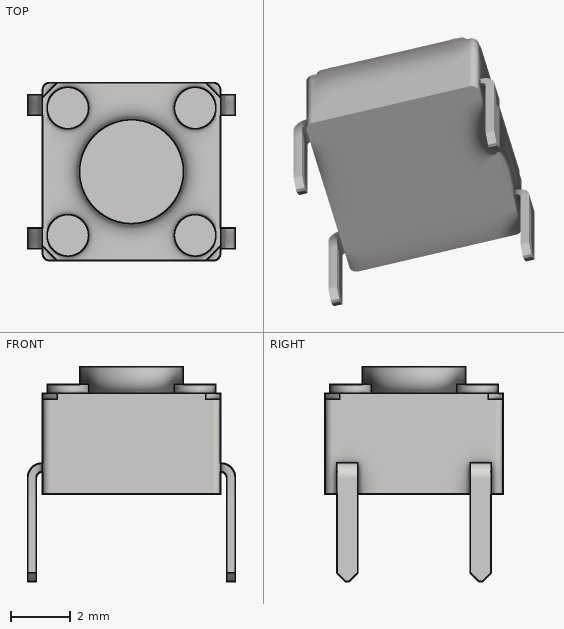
import cadquery as cq
import math

body_side = 6.0
body_height = 3.2
body_corner_radius = 0.25

cover_thickness = 0.2
cover_corner_cut = 0.5

plunger_diameter = 3.5
plunger_height = 0.9
peg_diameter = 1.4
peg_height = 0.3
peg_offset = 2.145

span_over_pins = 7.0
total_height = 7.25
pin_thickness = 0.3
pin_width = 0.7
pin_offset = 2.25
pin_top = 1.05
tip_cut = 0.3
pin_embed = 0.145

cover_top = body_height + cover_thickness
pin_bottom = cover_top + plunger_height - total_height
wall_x = body_side / 2
pin_outer_x = span_over_pins / 2
bend_outer_radius = pin_outer_x - wall_x
bend_inner_radius = bend_outer_radius - pin_thickness
bend_center_z = pin_top - bend_outer_radius


def bend_point(radius):
    """Point halfway round the quarter bend, as (x, z)."""
    step = radius * math.sqrt(0.5)
    return wall_x + step, bend_center_z + step


def make_pin():
    """Pin on the +X side, centred on Y = 0, with a tapered tip."""
    pin = (
        cq.Workplane("XZ")
        .moveTo(wall_x - pin_embed, pin_top)
        .lineTo(wall_x, pin_top)
        .threePointArc(bend_point(bend_outer_radius), (pin_outer_x, bend_center_z))
        .lineTo(pin_outer_x, pin_bottom)
        .lineTo(pin_outer_x - pin_thickness, pin_bottom)
        .lineTo(pin_outer_x - pin_thickness, bend_center_z)
        .threePointArc(bend_point(bend_inner_radius), (wall_x, pin_top - pin_thickness))
        .lineTo(wall_x - pin_embed, pin_top - pin_thickness)
        .close()
        .extrude(pin_width / 2, both=True)
    )
    return pin.faces("<Z").edges("|X").chamfer(tip_cut)


body = (
    cq.Workplane("XY")
    .rect(body_side, body_side)
    .extrude(body_height)
    .edges("|Z")
    .fillet(body_corner_radius)
)
cover = (
    cq.Workplane("XY", origin=(0, 0, body_height))
    .rect(body_side, body_side)
    .extrude(cover_thickness)
    .edges("|Z")
    .chamfer(cover_corner_cut)
)
cover_plane = cq.Workplane("XY", origin=(0, 0, cover_top))
plunger = cover_plane.circle(plunger_diameter / 2).extrude(plunger_height)
pegs = (
    cover_plane
    .rect(2 * peg_offset, 2 * peg_offset, forConstruction=True)
    .vertices()
    .circle(peg_diameter / 2)
    .extrude(peg_height)
)

result = body.union(cover).union(plunger).union(pegs)
right_pin = make_pin()
for pin in (right_pin, right_pin.mirror("YZ")):
    for y in (-pin_offset, pin_offset):
        result = result.union(pin.translate((0, y, 0)))